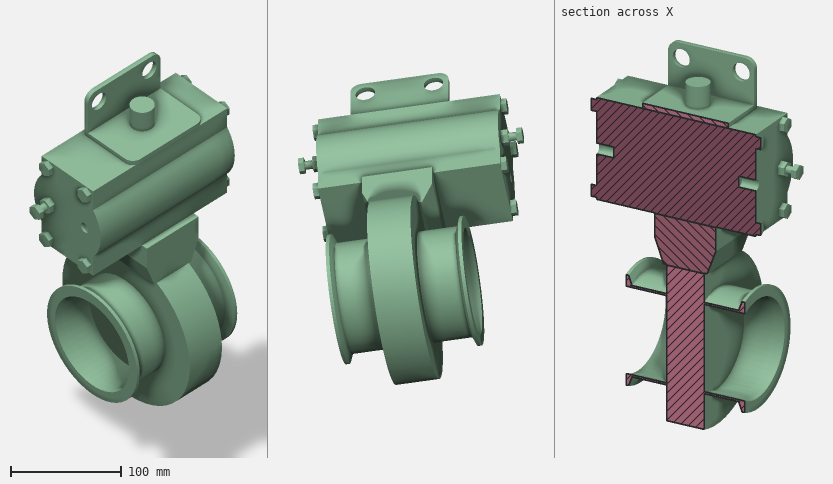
import cadquery as cq
import math


BODY_DIAMETER = 168.0
BODY_THICKNESS = 40.0
TUBE_OUTER_DIAMETER = 101.7
TUBE_BORE_DIAMETER = 97.5
VALVE_LENGTH = 125.0
FERRULE_DIAMETER = 119.0
FERRULE_RIM_THICKNESS = 3.2
FERRULE_TAPER_LENGTH = 3.5

MOUNT_WIDTH = 80.7
MOUNT_TOP_DEPTH = 64.5
MOUNT_FOOT_DEPTH = 46.0
MOUNT_TAPER_TOP_Z = 98.5

ACTUATOR_BOTTOM_Z = 122.0
ACTUATOR_WIDTH = 68.0
ACTUATOR_HEIGHT = 101.0
ACTUATOR_LENGTH = 167.5
ACTUATOR_CENTER_Y = -9.5
BARREL_DIAMETER = 88.0
SHAFT_DIAMETER = 23.0
SHAFT_TOP_Z = 250.3

HEX_FLATS = 13.0
BOLT_HEAD_HEIGHT = 5.5
BOLT_SPACING_X = 50.5
BOLT_SPACING_Z = 85.0
ADJUSTER_OFFSET_X = 23.0
ADJUSTER_NUT_HEIGHT = 6.5
ADJUSTER_LENGTH = 19.3
ADJUSTER_SHANK_DIAMETER = 8.0
PORT_DIAMETER = 10.5
PORT_DEPTH = 18.0

BRACKET_THICKNESS = 5.0
BRACKET_LEFT_X = -28.5
BRACKET_LENGTH = 63.5
BRACKET_WIDTH = 90.3
BRACKET_CORNER_RADIUS = 10.0
BRACKET_HOLE_DIAMETER = 18.0
BRACKET_HOLE_SPACING = 63.0
BRACKET_HOLE_DROP = 15.0
OVERALL_HEIGHT = 357.0

BODY_RADIUS = BODY_DIAMETER / 2
SEAT_Z = math.sqrt(BODY_RADIUS**2 - (MOUNT_WIDTH / 2) ** 2)
ACTUATOR_TOP_Z = ACTUATOR_BOTTOM_Z + ACTUATOR_HEIGHT
ACTUATOR_CENTER_Z = ACTUATOR_BOTTOM_Z + ACTUATOR_HEIGHT / 2
ACTUATOR_END_Y = ACTUATOR_CENTER_Y - ACTUATOR_LENGTH / 2
BRACKET_TOP_Z = OVERALL_HEIGHT - BODY_RADIUS
BRACKET_HOLE_Z = BRACKET_TOP_Z - BRACKET_HOLE_DROP


def cylinder_along_y(diameter, start_y, end_y):
    """Cylinder on the flow axis between two Y positions."""
    return cq.Workplane("XZ", origin=(0, start_y, 0)).circle(diameter / 2).extrude(start_y - end_y)


def make_valve_end():
    """Tube with a tapered clamp ferrule on the -Y side, bored down to the valve body."""
    face_y = -BODY_THICKNESS / 2
    end_y = -VALVE_LENGTH / 2
    rim_y = end_y + FERRULE_RIM_THICKNESS
    taper_y = rim_y + FERRULE_TAPER_LENGTH
    bore_radius = TUBE_BORE_DIAMETER / 2
    tube_radius = TUBE_OUTER_DIAMETER / 2
    ferrule_radius = FERRULE_DIAMETER / 2
    wall_profile = [
        (bore_radius, face_y),
        (bore_radius, end_y),
        (ferrule_radius, end_y),
        (ferrule_radius, rim_y),
        (tube_radius, taper_y),
        (tube_radius, face_y),
    ]
    return cq.Workplane("XY").polyline(wall_profile).close().revolve(360, (0, 0), (0, 1))


def make_valve():
    """Round body with a flat seat for the mount and a tube end on each side."""
    body = cylinder_along_y(BODY_DIAMETER, -BODY_THICKNESS / 2, BODY_THICKNESS / 2)
    above_seat = (
        cq.Workplane("XY", origin=(0, 0, SEAT_Z))
        .rect(BODY_DIAMETER, BODY_DIAMETER)
        .extrude(BODY_RADIUS)
    )
    valve_end = make_valve_end()
    return body.cut(above_seat).union(valve_end).union(valve_end.mirror("XZ"))


def make_mount():
    """Block that narrows in Y towards the valve body."""
    half_top = MOUNT_TOP_DEPTH / 2
    half_foot = MOUNT_FOOT_DEPTH / 2
    side_profile = [
        (-half_foot, SEAT_Z),
        (half_foot, SEAT_Z),
        (half_top, MOUNT_TAPER_TOP_Z),
        (half_top, ACTUATOR_BOTTOM_Z),
        (-half_top, ACTUATOR_BOTTOM_Z),
        (-half_top, MOUNT_TAPER_TOP_Z),
    ]
    return cq.Workplane("YZ").polyline(side_profile).close().extrude(MOUNT_WIDTH / 2, both=True)


def hexagon(plane):
    """Hexagon sketched on an XZ workplane with corners pointing up and down."""
    corner_diameter = HEX_FLATS / math.cos(math.pi / 6)
    return plane.transformed(rotate=(0, 0, 90)).polygon(6, corner_diameter)


def make_end_hardware():
    """Bolt heads and stop adjuster on the -Y end of the actuator."""
    end_face = cq.Workplane("XZ", origin=(0, ACTUATOR_END_Y, ACTUATOR_CENTER_Z))
    adjuster_base = end_face.center(-ADJUSTER_OFFSET_X, 0)
    adjuster_tip = adjuster_base.workplane(offset=ADJUSTER_LENGTH)
    nut = hexagon(adjuster_base).extrude(ADJUSTER_NUT_HEIGHT)
    shank = adjuster_base.circle(ADJUSTER_SHANK_DIAMETER / 2).extrude(ADJUSTER_LENGTH)
    head = hexagon(adjuster_tip).extrude(-BOLT_HEAD_HEIGHT)
    hardware = [nut.union(shank).union(head)]
    for side_x in (-1, 1):
        for side_z in (-1, 1):
            bolt_place = end_face.center(side_x * BOLT_SPACING_X / 2, side_z * BOLT_SPACING_Z / 2)
            hardware.append(hexagon(bolt_place).extrude(BOLT_HEAD_HEIGHT))
    return hardware


def make_air_port():
    """Cutter for the blind air port in the -Y end of the actuator."""
    return (
        cq.Workplane("XZ", origin=(ADJUSTER_OFFSET_X, ACTUATOR_END_Y, ACTUATOR_CENTER_Z))
        .circle(PORT_DIAMETER / 2)
        .extrude(-PORT_DEPTH)
    )


def mirror_to_far_end(shape):
    """Mirror a shape about the middle of the actuator's length."""
    return shape.mirror("XZ", (0, ACTUATOR_CENTER_Y, 0))


def make_actuator():
    """Box merged with a round barrel, with end hardware, air ports and the indicator shaft."""
    middle = cq.Workplane("XZ", origin=(0, ACTUATOR_CENTER_Y, ACTUATOR_CENTER_Z))
    box = middle.rect(ACTUATOR_WIDTH, ACTUATOR_HEIGHT).extrude(ACTUATOR_LENGTH / 2, both=True)
    barrel = middle.circle(BARREL_DIAMETER / 2).extrude(ACTUATOR_LENGTH / 2, both=True)
    shaft = (
        cq.Workplane("XY", origin=(0, 0, ACTUATOR_TOP_Z))
        .circle(SHAFT_DIAMETER / 2)
        .extrude(SHAFT_TOP_Z - ACTUATOR_TOP_Z)
    )
    actuator = box.union(barrel).union(shaft)
    for item in make_end_hardware():
        actuator = actuator.union(item).union(mirror_to_far_end(item))
    port = make_air_port()
    return actuator.cut(port).cut(mirror_to_far_end(port))


def make_bracket():
    """Angle bracket lying on the actuator, with rounded corners and two lifting holes."""
    base = (
        cq.Workplane("XY", origin=(BRACKET_LEFT_X + BRACKET_LENGTH / 2, 0, ACTUATOR_TOP_Z))
        .rect(BRACKET_LENGTH, BRACKET_WIDTH)
        .extrude(BRACKET_THICKNESS)
        .edges("|Z and >X")
        .fillet(BRACKET_CORNER_RADIUS)
    )
    upright_height = BRACKET_TOP_Z - ACTUATOR_TOP_Z
    upright = (
        cq.Workplane("YZ", origin=(BRACKET_LEFT_X, 0, ACTUATOR_TOP_Z + upright_height / 2))
        .rect(BRACKET_WIDTH, upright_height)
        .extrude(BRACKET_THICKNESS)
        .edges("|X and >Z")
        .fillet(BRACKET_CORNER_RADIUS)
    )
    lifting_holes = (
        cq.Workplane("YZ", origin=(BRACKET_LEFT_X, 0, BRACKET_HOLE_Z))
        .pushPoints([(-BRACKET_HOLE_SPACING / 2, 0), (BRACKET_HOLE_SPACING / 2, 0)])
        .circle(BRACKET_HOLE_DIAMETER / 2)
        .extrude(BRACKET_THICKNESS)
    )
    shaft_hole = (
        cq.Workplane("XY", origin=(0, 0, ACTUATOR_TOP_Z))
        .circle(SHAFT_DIAMETER / 2)
        .extrude(BRACKET_THICKNESS)
    )
    return base.union(upright).cut(lifting_holes).cut(shaft_hole)


valve = make_valve()
mount = make_mount()
actuator = make_actuator()
bracket = make_bracket()

bodies = [valve, mount, actuator, bracket]
result = cq.Compound.makeCompound([body.solids().val() for body in bodies])